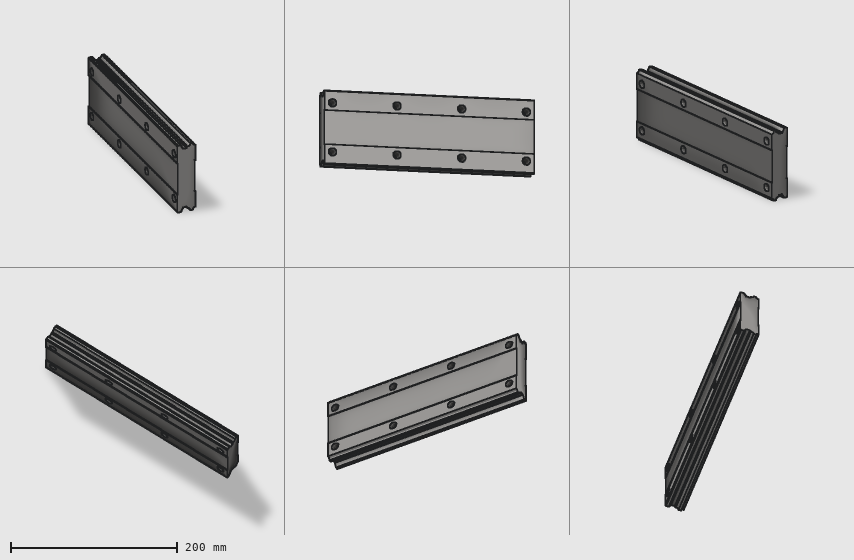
import cadquery as cq
import math

length = 260.0
thickness = 24.0
height = 90.0

relief_height = 41.5
relief_depth = 0.8

cove_radius = 3.5
tongue_start = cove_radius
tongue_end = 6.8
cove_end = tongue_end + cove_radius
groove_start = 11.7
groove_end = 16.5
lip_start = 19.2
lip_chamfer_width = 1.3

cove_centre_drop = 0.3
groove_wall_drop = 5.0
groove_drop = 5.7
lip_chamfer_drop = 1.0

hole_diameter = 9.4
hole_columns = 4
hole_pitch = 80.0
hole_row_spacing = 59.8

back = thickness / 2
front = -back
top = height / 2


def edge_point(from_back, drop):
    """Point (Y, Z) on the upper edge profile."""
    return back - from_back, top - drop


def make_upper_half():
    """Extrude the upper half of the cross-section along X."""
    cove_middle_offset = cove_radius * math.sqrt(0.5)
    cove_middle_drop = cove_centre_drop + cove_middle_offset
    cove_bottom_drop = cove_centre_drop + cove_radius
    back_cove_middle = edge_point(cove_middle_offset, cove_middle_drop)
    front_cove_middle = edge_point(cove_end - cove_middle_offset, cove_middle_drop)
    relief_top = relief_height / 2
    return (
        cq.Workplane("YZ", origin=(-length / 2, 0, 0))
        .moveTo(back - relief_depth, 0)
        .lineTo(back - relief_depth, relief_top)
        .lineTo(back, relief_top)
        .lineTo(*edge_point(0, cove_bottom_drop))
        .threePointArc(back_cove_middle, edge_point(tongue_start, cove_centre_drop))
        .lineTo(*edge_point(tongue_start, 0))
        .lineTo(*edge_point(tongue_end, 0))
        .lineTo(*edge_point(tongue_end, cove_centre_drop))
        .threePointArc(front_cove_middle, edge_point(cove_end, cove_bottom_drop))
        .lineTo(*edge_point(groove_start, groove_wall_drop))
        .lineTo(*edge_point(groove_start, groove_drop))
        .lineTo(*edge_point(groove_end, groove_drop))
        .lineTo(*edge_point(groove_end, groove_wall_drop))
        .lineTo(*edge_point(lip_start, 0))
        .lineTo(*edge_point(thickness - lip_chamfer_width, 0))
        .lineTo(*edge_point(thickness, lip_chamfer_drop))
        .lineTo(front, relief_top)
        .lineTo(front + relief_depth, relief_top)
        .lineTo(front + relief_depth, 0)
        .close()
        .extrude(length)
    )


def make_holes():
    """Cylinders passing through the full thickness."""
    return (
        cq.Workplane("XZ", origin=(0, back, 0))
        .rarray(hole_pitch, hole_row_spacing, hole_columns, 2)
        .circle(hole_diameter / 2)
        .extrude(thickness)
    )


upper_half = make_upper_half()
body = upper_half.union(upper_half.mirror("XY")).clean()
result = body.cut(make_holes())